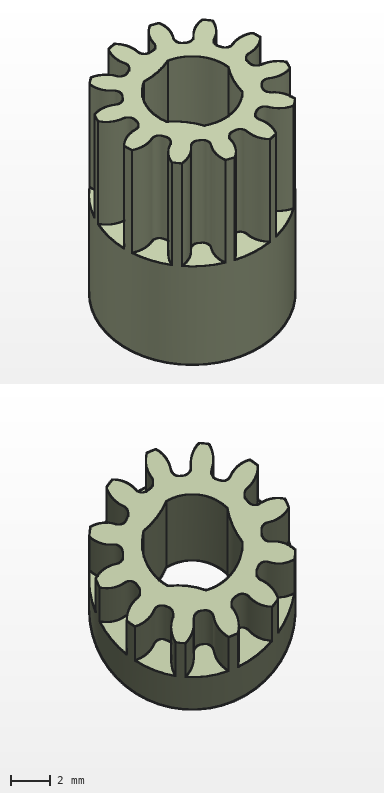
import cadquery as cq
import math

height = 14.3
outer_radius = 10.5 / 2
collar_height = 7.0

tooth_count = 12
root_radius = 3.56
tooth_half_width = 0.57
widest_radius = 4.3
flank_radius = 1.55
root_fillet = 0.43
cut_margin = 0.29

bore_radius = 5.1 / 2
lobe_count = 3
lobe_radius = 4.15
lobe_center_distance = 6.39
first_lobe_angle = 90.0


def turned(point, degrees):
    """Rotate a point about the gear axis."""
    angle = math.radians(degrees)
    x, y = point
    return (
        x * math.cos(angle) - y * math.sin(angle),
        x * math.sin(angle) + y * math.cos(angle),
    )


def polar(radius, degrees):
    return turned((radius, 0), degrees)


def direction(point):
    """Angle of a point about the gear axis, in degrees."""
    return math.degrees(math.atan2(point[1], point[0]))


def circle_crossing(axis_radius, center, radius):
    """Upper crossing of a circle about the gear axis with another circle."""
    distance = math.hypot(*center)
    along = (axis_radius**2 + distance**2 - radius**2) / (2 * distance)
    across = math.sqrt(axis_radius**2 - along**2)
    return turned((along, across), direction(center))


def toward(start, target, length):
    """Point at a given length from start on the line to target."""
    share = length / math.dist(start, target)
    return (
        start[0] + (target[0] - start[0]) * share,
        start[1] + (target[1] - start[1]) * share,
    )


def arc_middle(center, radius, start, end):
    """Middle of the shorter arc between two points of a circle."""
    chord_middle = ((start[0] + end[0]) / 2, (start[1] + end[1]) / 2)
    return toward(center, chord_middle, radius)


def make_tooth_gap(start_angle, end_angle):
    """Space between the teeth centred at the two angles, open at the outside."""
    flank_center = (widest_radius, tooth_half_width - flank_radius)
    tip = circle_crossing(outer_radius, flank_center, flank_radius)
    fillet_center = circle_crossing(root_radius + root_fillet, flank_center, flank_radius + root_fillet)
    flank_end = toward(flank_center, fillet_center, flank_radius)
    root = polar(root_radius, direction(fillet_center))
    flank_middle = arc_middle(flank_center, flank_radius, tip, flank_end)
    fillet_middle = arc_middle(fillet_center, root_fillet, flank_end, root)
    upper_flank = [tip, flank_middle, flank_end, fillet_middle, root]
    lower_flank = [(x, -y) for x, y in reversed(upper_flank)]

    near_side = [turned(point, start_angle) for point in upper_flank]
    far_side = [turned(point, end_angle) for point in lower_flank]
    gap_angle = (start_angle + end_angle) / 2
    return (
        cq.Workplane("XY", origin=(0, 0, collar_height))
        .moveTo(*near_side[0])
        .threePointArc(near_side[1], near_side[2])
        .threePointArc(near_side[3], near_side[4])
        .threePointArc(polar(root_radius, gap_angle), far_side[0])
        .threePointArc(far_side[1], far_side[2])
        .threePointArc(far_side[3], far_side[4])
        .threePointArc(polar(outer_radius + cut_margin, gap_angle), near_side[0])
        .close()
        .extrude(height - collar_height)
    )


def make_bore():
    bore = cq.Workplane("XY").circle(bore_radius).extrude(height)
    lobes = (
        cq.Workplane("XY")
        .polarArray(lobe_center_distance, first_lobe_angle, 360, lobe_count)
        .circle(lobe_radius)
        .extrude(height)
    )
    return bore.cut(lobes)


pinion = cq.Workplane("XY").circle(outer_radius).extrude(height)
pitch_angle = 360 / tooth_count
for tooth in range(tooth_count):
    tooth_angle = tooth * pitch_angle
    pinion = pinion.cut(make_tooth_gap(tooth_angle, tooth_angle + pitch_angle))
result = pinion.cut(make_bore())